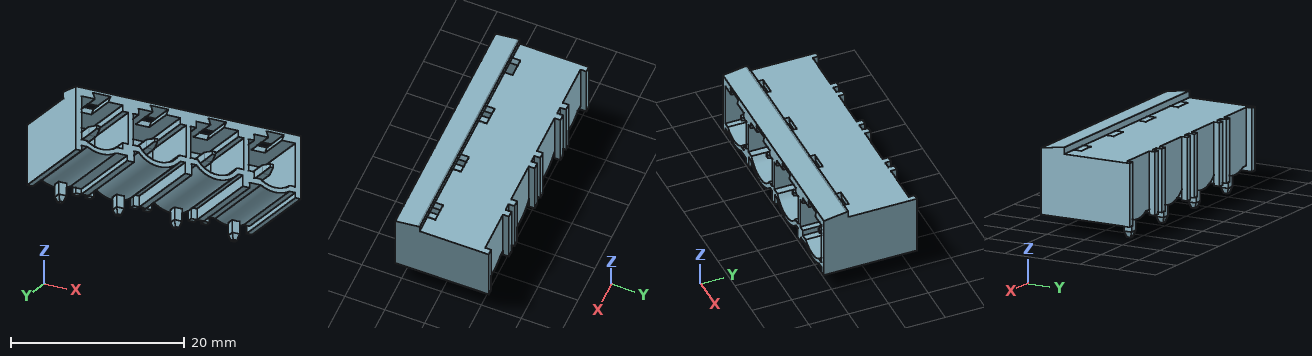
import cadquery as cq

contact_count = 4
pitch = 7.62
contact_height = pitch / 2

length = 29.65
depth = 11.75
top_height = 7.62
ridge_height = 8.42
ridge_front_height = 7.98
ridge_depth = 3.08
ridge_flat = 0.25
wall = 0.75
back_face = depth - wall

socket_depth = 8.0
socket_top = 6.88
upper_step_height = 6.1
middle_floor = 2.15
end_floor = middle_floor - wall
socket_half_width = 3.5
roof_half_width = 2.75
bowl_radius = 3.08
shell_radius = 3.68

foot_half_width = 0.45
post_width = 0.77

slot_length = 4.1
slot_top_half_width = 1.15
slot_bottom_half_width = 0.9

pin_width = 1.0
pin_tip_width = 0.4
tail_tip_width = 0.5
pin_front = 0.85
pin_taper_length = 1.35
tail_length = 2.17
tail_taper_length = 0.75
tail_y = depth - 1.87
collar_base_radius = 1.72
collar_tip_radius = 1.0
collar_length = 1.0

contact_xs = [(i - (contact_count - 1) / 2) * pitch for i in range(contact_count)]
partition_xs = [x + pitch / 2 for x in contact_xs[:-1]]
end_xs = (contact_xs[0], contact_xs[-1])


def block(x_min, x_max, y_min, y_max, z_min, z_max):
    """Box given by its limits along each axis."""
    size = (x_max - x_min, y_max - y_min, z_max - z_min)
    return cq.Workplane("XY").box(*size, centered=False).translate((x_min, y_min, z_min))


def rod(x, radius, y_min, y_max):
    """Cylinder along Y around a contact axis."""
    plane = cq.Workplane("XZ", origin=(x, y_min, contact_height))
    return plane.circle(radius).extrude(y_min - y_max)


def housing_bar():
    """Solid bar with the sloped ridge along its upper front edge."""
    profile = [
        (0, 0),
        (back_face, 0),
        (back_face, top_height),
        (ridge_depth, top_height),
        (ridge_depth, ridge_height),
        (ridge_depth - ridge_flat, ridge_height),
        (0, ridge_front_height),
    ]
    return cq.Workplane("YZ", origin=(-length / 2, 0, 0)).polyline(profile).close().extrude(length)


def underside_gap(x):
    """Space below one cell, leaving the feet and the round shell of the bowl."""
    left = x - pitch / 2 + foot_half_width
    right = x + pitch / 2 - foot_half_width
    ceiling = middle_floor - wall
    if x in end_xs:
        left = max(left, wall - length / 2)
        right = min(right, length / 2 - wall)
        ceiling = end_floor - wall
    gap = block(left, right, 0, back_face, 0, ceiling)
    return gap.cut(rod(x, shell_radius, 0, back_face))


def socket(x):
    """Stepped cavity with a round bowl; end cells have a plain outer wall and a lower floor."""
    left, right = x - socket_half_width, x + socket_half_width
    body = block(left, right, 0, socket_depth, middle_floor, upper_step_height)
    floor = end_floor if x in end_xs else middle_floor
    body = body.union(block(x - roof_half_width, x + roof_half_width, 0, socket_depth, floor, socket_top))
    bowl = rod(x, bowl_radius, 0, socket_depth)
    bowl = bowl.intersect(block(x - pitch, x + pitch, 0, socket_depth, 0, contact_height))
    body = body.union(bowl)
    if x in end_xs:
        inner_limit = length / 2 - wall
        body = body.intersect(block(-inner_limit, inner_limit, 0, socket_depth, 0, top_height))
    return body


def coding_slot(x):
    """Tapered slot through the roof, open to the front and running under the ridge."""
    profile = [
        (x - slot_top_half_width, top_height),
        (x + slot_top_half_width, top_height),
        (x + slot_bottom_half_width, socket_top),
        (x - slot_bottom_half_width, socket_top),
    ]
    return cq.Workplane("XZ").polyline(profile).close().extrude(-slot_length)


def rear_post(x_min, x_max):
    """Full-height post on the rear face."""
    return block(x_min, x_max, back_face, depth, 0, top_height)


def tapered_tip(plane, tip_length, tip_width):
    """Square pin end narrowing along the normal of the given plane."""
    base = plane.rect(pin_width, pin_width)
    return base.workplane(offset=tip_length).rect(tip_width, tip_width).loft()


def contact(x):
    """Bent square pin with a conical collar at the back of its socket."""
    half = pin_width / 2
    shank_front = pin_front + pin_taper_length
    shank_low = tail_taper_length - tail_length
    shank = block(
        x - half, x + half, shank_front, tail_y, contact_height - half, contact_height + half
    )
    tail = block(x - half, x + half, tail_y - half, tail_y + half, shank_low, contact_height)
    tip_plane = cq.Workplane("XZ", origin=(x, shank_front, contact_height))
    tip = tapered_tip(tip_plane, pin_taper_length, pin_tip_width)
    tail_plane = cq.Workplane("XY", origin=(x, tail_y, shank_low)).transformed(rotate=(180, 0, 0))
    tail_tip = tapered_tip(tail_plane, tail_taper_length, tail_tip_width)
    collar = (
        cq.Workplane("XZ", origin=(x, socket_depth, contact_height))
        .circle(collar_base_radius)
        .workplane(offset=collar_length)
        .circle(collar_tip_radius)
        .loft()
    )
    return shank.union(tail).union(tip).union(tail_tip).union(collar)


result = housing_bar()
for contact_x in contact_xs:
    result = result.cut(underside_gap(contact_x))
    result = result.cut(socket(contact_x))
    result = result.cut(coding_slot(contact_x))

result = result.union(rear_post(-length / 2, wall - length / 2))
result = result.union(rear_post(length / 2 - wall, length / 2))
for partition_x in partition_xs:
    foot_left = partition_x - foot_half_width
    foot_right = partition_x + foot_half_width
    result = result.union(rear_post(foot_left - post_width, foot_left))
    result = result.union(rear_post(foot_right, foot_right + post_width))

for contact_x in contact_xs:
    result = result.union(contact(contact_x))